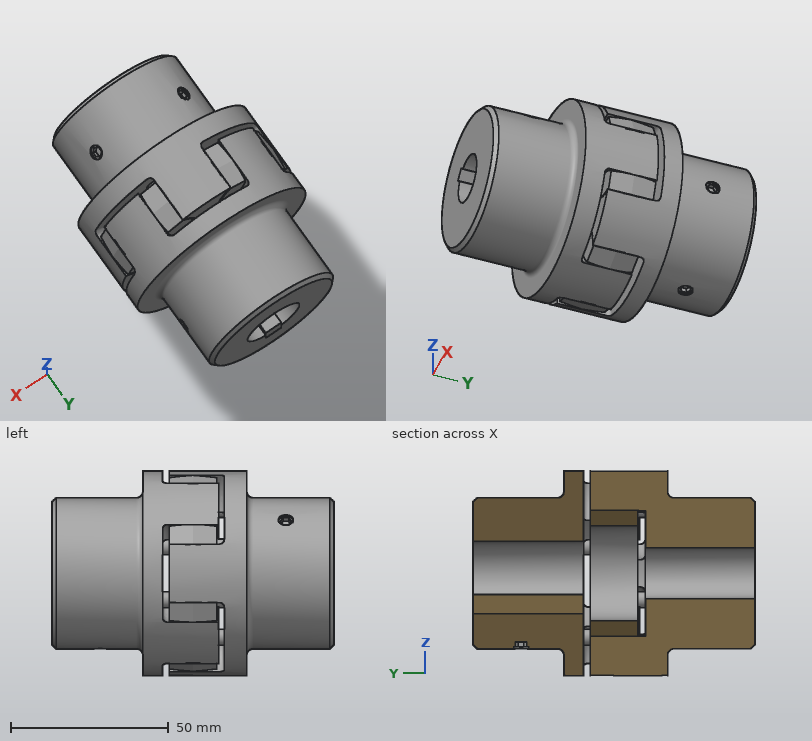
import cadquery as cq
import math


half_length = 44.7
flange_diameter = 65.0
hub_diameter = 48.0
hub_chamfer = 1.3
hub_fillet = 2.0

front_flange_face = 17.1
front_claw_floor = 9.9
front_claw_tip = 7.6
front_claw_angle = 0.0
front_bore_diameter = 16.0
front_key_angle = 135.0
front_key_width = 4.0
front_key_reach = 9.8

rear_flange_face = 15.9
rear_claw_floor = 9.7
rear_claw_tip = 8.1
rear_claw_angle = 45.0
rear_bore_diameter = 20.0
rear_key_angle = -90.0

claw_count = 4
claw_pitch = 360.0 / claw_count
claw_inner_radius = 19.85
pocket_radius = 15.5
pocket_center = 28.0
pocket_fillet = 1.5

screw_from_end = 15.3
screw_angle_step = 90.0
screw_diameter = 4.65
screw_recess = 0.7
socket_across_flats = 3.0
socket_depth = 1.5

tooth_count = 2 * claw_count
tooth_pitch = 360.0 / tooth_count
tooth_peak = 32.2
tooth_slope = 5.0
tooth_crown = 0.5
spider_half_width = front_claw_tip
spider_bore_radius = 15.0
stub_diameter = 5.1
stub_center = 21.9

key_width = 6.0
key_height = 6.0
key_top = 6.7

claw_pocket_turn = claw_pitch / 2
flange_radius = flange_diameter / 2
hub_radius = hub_diameter / 2


def turn(shape, angle):
    """Turn a shape about the coupling axis, from +X towards +Z."""
    return shape.rotate((0, 0, 0), (0, 1, 0), -angle)


def cylinder(radius, y_start, y_end, offset=0.0):
    """Cylinder along Y, its axis moved along +X by the offset."""
    profile = cq.Workplane("XZ", origin=(0, y_start, 0)).center(offset, 0).circle(radius)
    return profile.extrude(y_start - y_end)


def block(x_start, x_end, y_start, y_end, width):
    """Box between two X and two Y places, centered on Z = 0."""
    size_x = x_end - x_start
    size_y = y_end - y_start
    box = cq.Workplane("XY").box(size_x, size_y, width, centered=(False, False, True))
    return box.translate((x_start, y_start, 0))



def hub_blank(flange_face, claw_tip):
    """Turned hub with its flange reaching to the claw tips."""
    body = cylinder(hub_radius, -half_length, -flange_face)
    body = body.faces("<Y").chamfer(hub_chamfer)
    flange = cylinder(flange_radius, -flange_face, claw_tip)
    root = (
        cq.Workplane("XY")
        .moveTo(0, -flange_face - hub_fillet)
        .lineTo(hub_radius, -flange_face - hub_fillet)
        .radiusArc((hub_radius + hub_fillet, -flange_face), hub_fillet)
        .lineTo(0, -flange_face)
        .close()
        .revolve(360, (0, 0, 0), (0, 1, 0))
    )
    return body.union(root).union(flange)


def claw_cavity(claw_floor, claw_tip, claw_angle):
    """Space between the claws: a round center and four pockets with filleted floors."""
    cavity = cylinder(claw_inner_radius, -claw_floor, claw_tip)
    pocket = cylinder(pocket_radius, -claw_floor, claw_tip, pocket_center)
    pocket = pocket.faces("<Y").edges().fillet(pocket_fillet)
    for i in range(claw_count):
        cavity = cavity.union(turn(pocket, claw_angle + claw_pocket_turn + i * claw_pitch))
    return cavity


def screw_seat():
    """Set screw seat on the +X side: round recess, then a hexagon socket."""
    y = screw_from_end - half_length
    recess_floor = hub_radius - screw_recess
    across_corners = socket_across_flats / math.cos(math.radians(30))
    plane = cq.Workplane("YZ", origin=(recess_floor, y, 0))
    recess = plane.circle(screw_diameter / 2).extrude(2 * screw_recess)
    socket = plane.polygon(6, across_corners).extrude(-socket_depth)
    return recess.union(socket)


def make_hub(flange_face, claw_floor, claw_tip, claw_angle, bore_diameter, key_angle, key_size):
    """Hub with claws, bore, keyway and two set screw seats, one above the keyway."""
    key_seat_width, key_reach = key_size
    hub = hub_blank(flange_face, claw_tip)
    hub = hub.cut(claw_cavity(claw_floor, claw_tip, claw_angle))
    hub = hub.cut(cylinder(bore_diameter / 2, -half_length, -claw_floor))
    keyway = block(0, key_reach, -half_length, -claw_floor, key_seat_width)
    hub = hub.cut(turn(keyway, key_angle))
    for angle in (key_angle, key_angle - screw_angle_step):
        hub = hub.cut(turn(screw_seat(), angle))
    return hub


front_hub = make_hub(
    front_flange_face, front_claw_floor, front_claw_tip, front_claw_angle,
    front_bore_diameter, front_key_angle, (front_key_width, front_key_reach),
)

rear_hub = make_hub(
    rear_flange_face, rear_claw_floor, rear_claw_tip, 180 - rear_claw_angle,
    rear_bore_diameter, 180 - rear_key_angle, (key_width, key_top + key_height),
).rotate((0, 0, 0), (0, 0, 1), 180)



def crowned_barrel():
    """Barrel on a pocket axis on the +X side; it touches the claw flanks at mid width."""
    end_radius = pocket_radius - tooth_crown
    return (
        cq.Workplane("XY", origin=(pocket_center, 0, 0))
        .moveTo(0, -spider_half_width)
        .lineTo(end_radius, -spider_half_width)
        .threePointArc((pocket_radius, 0), (end_radius, spider_half_width))
        .lineTo(0, spider_half_width)
        .close()
        .revolve(360, (0, 0, 0), (0, 1, 0))
    )


def tooth():
    """Tooth on the +X side: where two barrels cross, under a roof-shaped top."""
    end_radius = tooth_peak - spider_half_width * math.tan(math.radians(tooth_slope))
    roof = (
        cq.Workplane("XY")
        .moveTo(spider_bore_radius, -spider_half_width)
        .lineTo(end_radius, -spider_half_width)
        .lineTo(tooth_peak, 0)
        .lineTo(end_radius, spider_half_width)
        .lineTo(spider_bore_radius, spider_half_width)
        .close()
        .extrude(pocket_radius, both=True)
    )
    lower_barrel = turn(crowned_barrel(), -tooth_pitch / 2)
    upper_barrel = turn(crowned_barrel(), tooth_pitch / 2)
    return lower_barrel.intersect(upper_barrel).intersect(roof)


def make_spider():
    """Ring with eight teeth and spacer stubs on alternating ends of the teeth."""
    spider = cylinder(claw_inner_radius, -spider_half_width, spider_half_width)
    front_stub = cylinder(stub_diameter / 2, -front_claw_floor, 0, stub_center)
    rear_stub = cylinder(stub_diameter / 2, 0, rear_claw_floor, stub_center)
    for i in range(tooth_count):
        angle = (i + 0.5) * tooth_pitch
        stub = front_stub if i % 2 else rear_stub
        spider = spider.union(turn(tooth(), angle)).union(turn(stub, angle))
    return spider.cut(cylinder(spider_bore_radius, -spider_half_width, spider_half_width))


spider = make_spider()



key = turn(block(key_top, key_top + key_height, rear_claw_floor, half_length, key_width), rear_key_angle)


result = cq.Compound.makeCompound([front_hub.val(), rear_hub.val(), spider.val(), key.val()])